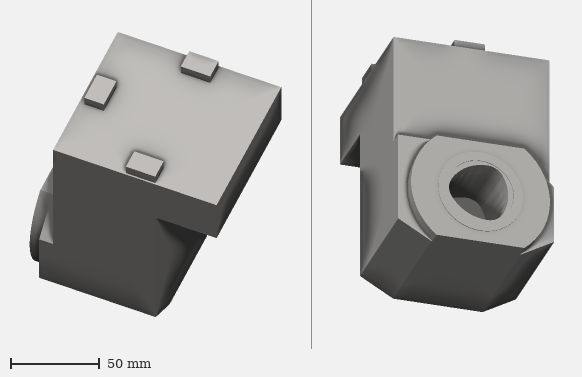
import cadquery as cq
import math

length = 117.0
width = 92.0
height = 137.5
half_width = width / 2

body_front = 16.9
column_back = 79.8
head_bottom = 101.8
key_height = 5.8
body_top = height - key_height
bottom_flat_half = 26.4
bottom_chamfer_angle = math.radians(30)
bottom_chamfer_height = (half_width - bottom_flat_half) * math.tan(bottom_chamfer_angle)

plate_front = 8.4
plate_top = 64.9
corner_cut = 18.7

axis_z = 31.8
ring_rise = 0.4
ring_diameter = 50.0
recess_diameter = 39.2
flange_front = ring_rise
flange_diameter = 82.0

socket_lobe = 18.5
socket_flank = 16.4
socket_depth = 38.5
socket_narrowing = 0.8

key_long = 18.0
key_short = 12.0
side_key_start = 61.0
side_key_inset = 1.0
front_key_start = 20.1


def box(x_start, x_end, y_middle, y_size, z_start, z_end):
    return (
        cq.Workplane("XY")
        .box(x_end - x_start, y_size, z_end - z_start, centered=(False, True, False))
        .translate((x_start, y_middle, z_start))
    )


def disc(diameter, x_start, x_end):
    """Disc on the socket axis."""
    return (
        cq.Workplane("YZ", origin=(x_start, 0, axis_z))
        .circle(diameter / 2)
        .extrude(x_end - x_start)
    )


def make_body():
    column = (
        cq.Workplane("YZ", origin=(plate_front, 0, 0))
        .moveTo(-bottom_flat_half, 0)
        .lineTo(bottom_flat_half, 0)
        .lineTo(half_width, bottom_chamfer_height)
        .lineTo(half_width, plate_top)
        .lineTo(-half_width + corner_cut, plate_top)
        .lineTo(-half_width, plate_top - corner_cut)
        .lineTo(-half_width, bottom_chamfer_height)
        .close()
        .extrude(column_back - plate_front)
    )
    upper_column = box(body_front, column_back, 0, width, plate_top - corner_cut, body_top)
    head = box(body_front, length, 0, width, head_bottom, body_top)
    return column.union(upper_column).union(head).clean()


def make_flange():
    flats = box(flange_front, plate_front, 0, flange_diameter, 0, 2 * axis_z)
    flange = disc(flange_diameter, flange_front, plate_front).intersect(flats)
    ring = disc(ring_diameter, 0, flange_front)
    recess = disc(recess_diameter, 0, flange_front)
    return flange.union(ring).cut(recess)


def socket_outline(plane, offset):
    """Rounded triangle of six tangent arcs with one lobe toward +Y, shrunk by offset."""
    center_distance = (socket_lobe - socket_flank) / (2 - math.sqrt(3))
    flank_radius = socket_flank + center_distance - offset

    def flank_point(flank_angle, turn):
        center_angle = flank_angle + math.pi
        angle = flank_angle + turn
        return (
            center_distance * math.cos(center_angle) + flank_radius * math.cos(angle),
            center_distance * math.sin(center_angle) + flank_radius * math.sin(angle),
        )

    half_arc = math.radians(30)
    lobe_reach = socket_lobe - offset
    outline = plane.moveTo(*flank_point(-math.pi / 3, half_arc))
    for lobe in range(3):
        lobe_angle = lobe * 2 * math.pi / 3
        flank_angle = lobe_angle + math.pi / 3
        lobe_tip = (lobe_reach * math.cos(lobe_angle), lobe_reach * math.sin(lobe_angle))
        outline = outline.threePointArc(lobe_tip, flank_point(flank_angle, -half_arc))
        outline = outline.threePointArc(flank_point(flank_angle, 0), flank_point(flank_angle, half_arc))
    return outline.close()


def make_socket():
    mouth = socket_outline(cq.Workplane("YZ", origin=(flange_front, 0, axis_z)), 0)
    floor = socket_outline(mouth.workplane(offset=socket_depth), socket_narrowing)
    return floor.loft(ruled=True)


def make_keys():
    keys = box(front_key_start, front_key_start + key_short, 0, key_long, body_top, height)
    side_key_y = half_width - side_key_inset - key_short / 2
    side_key_end = side_key_start + key_long
    for side in (-1, 1):
        keys = keys.union(box(side_key_start, side_key_end, side * side_key_y, key_short, body_top, height))
    return keys


result = make_body().union(make_flange()).union(make_keys()).cut(make_socket())